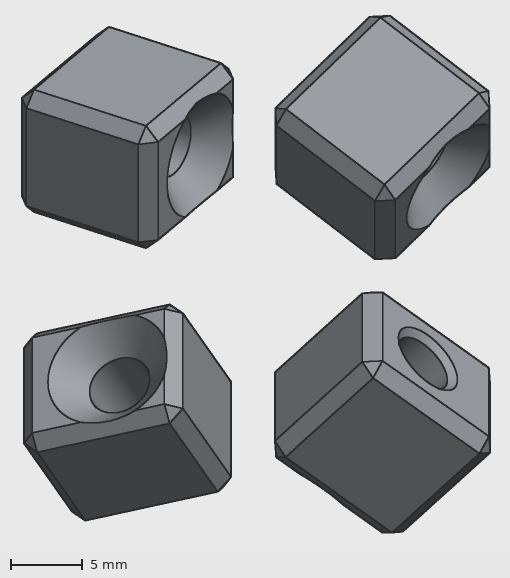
import cadquery as cq

length_x = 11.2
length_y = 11.92
length_z = 10.0
edge_chamfer = 1.0

hole_radius = 2.25
hole_offset_y = 0.73
entry_countersink_depth = 0.5
head_radius = 4.49


def chamfered_block():
    return cq.Workplane("XY").box(length_x, length_y, length_z).edges().chamfer(edge_chamfer)


def hole_with_countersinks():
    """Axial half profile of the whole hole, revolved about the hole axis."""
    left = -length_x / 2
    right = length_x / 2
    head_depth = head_radius - hole_radius
    return (
        cq.Workplane("XY", origin=(0, hole_offset_y, 0))
        .moveTo(left, 0)
        .lineTo(left, hole_radius + entry_countersink_depth)
        .lineTo(left + entry_countersink_depth, hole_radius)
        .lineTo(right - head_depth, hole_radius)
        .lineTo(right, head_radius)
        .lineTo(right, 0)
        .close()
        .revolve(360, (0, 0, 0), (1, 0, 0))
    )


result = chamfered_block().cut(hole_with_countersinks())